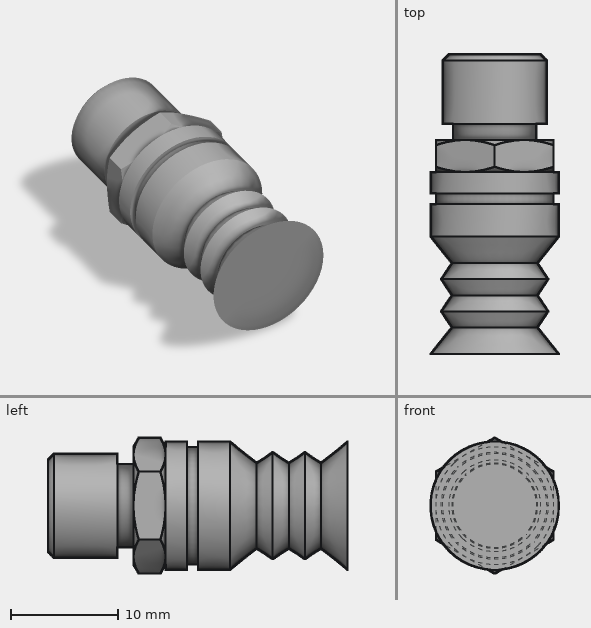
import cadquery as cq
import math

LIP_LENGTH = 2.5
FOLD_HALF_PITCH = 1.5
FOLD_COUNT = 2
SHOULDER_LENGTH = 2.5
FRONT_COLLAR_LENGTH = 3.0
GROOVE_WIDTH = 1.0
REAR_COLLAR_LENGTH = 2.0
HEX_LENGTH = 3.0
RELIEF_LENGTH = 1.5
THREAD_LENGTH = 6.5
THREAD_CHAMFER = 0.58

BODY_DIAMETER = 12.0
FOLD_CREST_DIAMETER = 10.0
FOLD_ROOT_DIAMETER = 8.0
GROOVE_DIAMETER = 11.0
RELIEF_DIAMETER = 7.8
THREAD_DIAMETER = 9.73

HEX_SIDES = 6
HEX_ACROSS_FLATS = 11.0
HEX_ACROSS_CORNERS = HEX_ACROSS_FLATS / math.cos(math.pi / HEX_SIDES)
HEX_CORNER_DIRECTION = 90
HEX_CHAMFER_ANGLE = 30
HEX_CORNER_EXCESS = (HEX_ACROSS_CORNERS - HEX_ACROSS_FLATS) / 2
HEX_CHAMFER_LENGTH = HEX_CORNER_EXCESS * math.tan(math.radians(HEX_CHAMFER_ANGLE))

BELLOWS_END = LIP_LENGTH + 2 * FOLD_HALF_PITCH * FOLD_COUNT
BODY_START = BELLOWS_END + SHOULDER_LENGTH
GROOVE_START = BODY_START + FRONT_COLLAR_LENGTH
GROOVE_END = GROOVE_START + GROOVE_WIDTH
HEX_START = GROOVE_END + REAR_COLLAR_LENGTH
HEX_END = HEX_START + HEX_LENGTH
THREAD_START = HEX_END + RELIEF_LENGTH
THREAD_END = THREAD_START + THREAD_LENGTH


def revolve_about_y(stations):
    """Revolve (diameter, y) stations about the Y axis, closed along that axis."""
    outline = [(0, stations[0][1])]
    outline += [(diameter / 2, y) for diameter, y in stations]
    outline.append((0, stations[-1][1]))
    return cq.Workplane("XY").polyline(outline).close().revolve(360, (0, 0, 0), (0, 1, 0))


def cylinder(diameter, start, end):
    """Solid cylinder on the Y axis between two stations."""
    return revolve_about_y([(diameter, start), (diameter, end)])


def suction_cup():
    """Flared lip, bellows folds and the cone that widens to the body."""
    stations = [(BODY_DIAMETER, 0), (FOLD_ROOT_DIAMETER, LIP_LENGTH)]
    for fold in range(FOLD_COUNT):
        crest = LIP_LENGTH + (2 * fold + 1) * FOLD_HALF_PITCH
        stations.append((FOLD_CREST_DIAMETER, crest))
        stations.append((FOLD_ROOT_DIAMETER, crest + FOLD_HALF_PITCH))
    stations.append((BODY_DIAMETER, BODY_START))
    return revolve_about_y(stations)


def grooved_body():
    """Two collars separated by a shallow groove."""
    front_collar = cylinder(BODY_DIAMETER, BODY_START, GROOVE_START)
    groove_floor = cylinder(GROOVE_DIAMETER, GROOVE_START, GROOVE_END)
    rear_collar = cylinder(BODY_DIAMETER, GROOVE_END, HEX_START)
    return front_collar.union(groove_floor).union(rear_collar)


def hexagon():
    """Wrench hexagon with its corners chamfered conically at both ends."""
    prism = (
        cq.Workplane("XZ", origin=(0, HEX_START, 0))
        .transformed(rotate=(0, 0, HEX_CORNER_DIRECTION))
        .polygon(HEX_SIDES, HEX_ACROSS_CORNERS)
        .extrude(-HEX_LENGTH)
    )
    envelope = revolve_about_y([
        (HEX_ACROSS_FLATS, HEX_START),
        (HEX_ACROSS_CORNERS, HEX_START + HEX_CHAMFER_LENGTH),
        (HEX_ACROSS_CORNERS, HEX_END - HEX_CHAMFER_LENGTH),
        (HEX_ACROSS_FLATS, HEX_END),
    ])
    return prism.intersect(envelope)


def threaded_end():
    """Thread relief and plain thread cylinder with a chamfered end."""
    relief = cylinder(RELIEF_DIAMETER, HEX_END, THREAD_START)
    thread = revolve_about_y([
        (THREAD_DIAMETER, THREAD_START),
        (THREAD_DIAMETER, THREAD_END - THREAD_CHAMFER),
        (THREAD_DIAMETER - 2 * THREAD_CHAMFER, THREAD_END),
    ])
    return relief.union(thread)


result = suction_cup().union(grooved_body()).union(hexagon()).union(threaded_end())